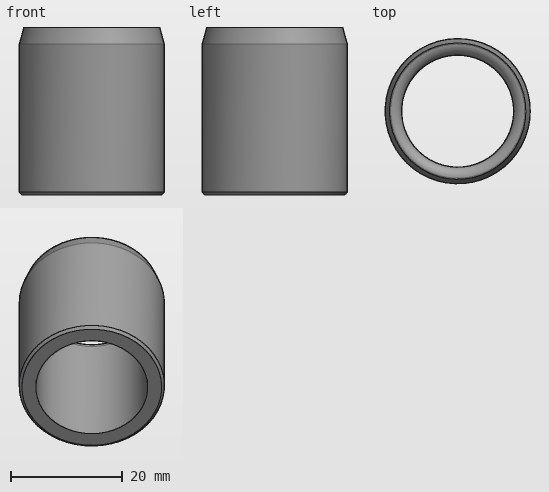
import cadquery as cq
import math

OUTER_DIAMETER = 26.0
BORE_DIAMETER = 20.0
LENGTH = 30.0
LEAD_IN_LENGTH = 3.0
LEAD_IN_ANGLE = 15.0
MOUTH_RADIUS = 2.0
BOTTOM_CHAMFER = 0.5

outer_radius = OUTER_DIAMETER / 2
bore_radius = BORE_DIAMETER / 2
lead_in_inset = LEAD_IN_LENGTH * math.tan(math.radians(LEAD_IN_ANGLE))


def bushing_body():
    """Solid of revolution about Z: bored sleeve with tapered top and chamfered bottom."""
    half_section = (
        cq.Workplane("XZ")
        .moveTo(bore_radius, 0)
        .lineTo(outer_radius - BOTTOM_CHAMFER, 0)
        .lineTo(outer_radius, BOTTOM_CHAMFER)
        .lineTo(outer_radius, LENGTH - LEAD_IN_LENGTH)
        .lineTo(outer_radius - lead_in_inset, LENGTH)
        .lineTo(bore_radius + MOUTH_RADIUS, LENGTH)
        .radiusArc((bore_radius, LENGTH - MOUTH_RADIUS), -MOUTH_RADIUS)
        .close()
    )
    return half_section.revolve(360, (0, 0, 0), (0, 1, 0))


result = bushing_body()